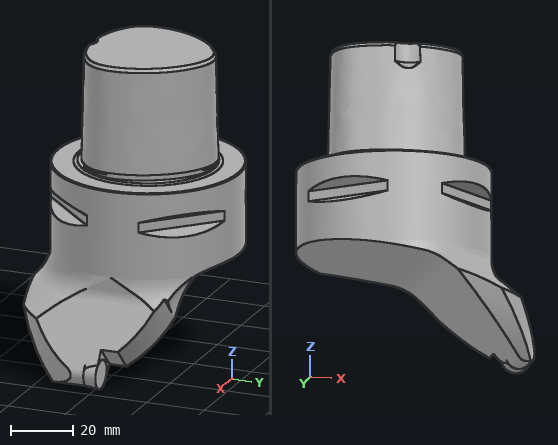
import cadquery as cq
import math


SHANK_HEIGHT = 38.3
CHAMFER_HEIGHT = 1.2
CHAMFER_WIDTH = 0.7
UNDERCUT_TOP = 2.5
UNDERCUT_DEPTH = 0.8
BASE_RADIUS = 22.1
TAPERED_RADIUS = 21.3
LOBE_HEIGHT = 1.3
LOBE_COUNT = 3
OUTLINE_POINTS = 36

RING_HEIGHT = 0.4
RING_BASE_RADIUS = 24.1
RING_TOP_RADIUS = 22.9
NECK_RADIUS = 22.0
NECK_TOP = 1.5

NOTCH_RADIUS = 5.7
NOTCH_DEPTH = 2.1
NOTCH_FLAT_END = 32.0
NOTCH_CONE_HEIGHT = 2.3

FLANGE_RADIUS = 31.5
RIM_CHAMFER = 0.3
SLOT_COUNT = 4
SLOT_FLAT_DISTANCE = 27.7
SLOT_CENTER_Z = -11.7
SLOT_FLOOR_HEIGHT = 3.3
SLOT_MOUTH_HEIGHT = 7.6

TIP_X = 40.2
TIP_Z = -59.8
TIP_RADIUS = 4.3
INSERT_RADIUS = 4.8
INSERT_THICKNESS = 4.4

UNDERSIDE_LEFT_Z = -26.8
UNDERSIDE_ANGLE = math.radians(10)
UNDERSIDE_FILLET = 15.5
ARM_LOWER_ANGLE = math.radians(45)
ARM_UPPER_ANGLE = math.radians(60)
ARM_UPPER_FILLET = 6.2

FLARE_TOP_Z = -29.7
FLARE_FILLET = 10.5
FLARE_ANGLE = math.radians(50)
FLARE_BREAK_Z = -39.2
FLARE_LOWER_ANGLE = math.radians(49)
FLARE_END_RADIUS = 61.8

BACK_STEP_Z = -27.7
BACK_STEP_Y = 17.2
BACK_STEP_FILLET = 14.4
SHELF_OFFSET = 64.8
SHELF_WIDTH = 5.9
BACK_CURVE_START = 45.4
BACK_CURVE_MIDDLE = (53.6, 14.1)

WALL_START = (0, -43.3)
WALL_ARC = [(28.1, -32.0), (36.5, -24.2), (43.9, -10.3)]
WALL_END = (51.5, 8.2)

FLANK_TOP = (-37.1, -33.0)
FLANK_ARC = [(-34.4, -38.8), (-28.1, -50.4), (-16.5, -63.9)]
FLANK_END = (-13.4, -67.0)

CLEAR = 206.0


def lobed_wire(mean_radius, z):
    """Constant-width three-lobed outline with one lobe towards +Y."""
    points = []
    for i in range(OUTLINE_POINTS):
        angle = 2 * math.pi * i / OUTLINE_POINTS
        phase = LOBE_COUNT * (angle - math.pi / 2)
        support = mean_radius + LOBE_HEIGHT * math.cos(phase)
        slope = -LOBE_COUNT * LOBE_HEIGHT * math.sin(phase)
        x = support * math.cos(angle) - slope * math.sin(angle)
        y = support * math.sin(angle) + slope * math.cos(angle)
        points.append(cq.Vector(x, y, z))
    edge = cq.Edge.makeSpline(points, periodic=True)
    return cq.Wire.assembleEdges([edge])


def lobed_solid(bottom_radius, bottom_z, top_radius, top_z):
    wires = [lobed_wire(bottom_radius, bottom_z), lobed_wire(top_radius, top_z)]
    return cq.Workplane(cq.Solid.makeLoft(wires, True))


def make_shank():
    chamfer_z = SHANK_HEIGHT - CHAMFER_HEIGHT
    neck_mean = BASE_RADIUS - UNDERCUT_DEPTH
    taper = lobed_solid(BASE_RADIUS, UNDERCUT_TOP, TAPERED_RADIUS, chamfer_z)
    chamfer = lobed_solid(TAPERED_RADIUS, chamfer_z, TAPERED_RADIUS - CHAMFER_WIDTH, SHANK_HEIGHT)
    neck = lobed_solid(neck_mean, -1, neck_mean, UNDERCUT_TOP)
    lobe_trim = cq.Workplane().circle(FLANGE_RADIUS).circle(NECK_RADIUS).extrude(NECK_TOP)
    shank = taper.union(chamfer).union(neck.cut(lobe_trim))
    return shank.cut(make_notch())


def make_notch():
    """Vertical round groove in the -Y side whose lower end is a cone."""
    shank_front = TAPERED_RADIUS - LOBE_HEIGHT
    axis_y = -(shank_front - NOTCH_DEPTH + NOTCH_RADIUS)
    cone_bottom = NOTCH_FLAT_END - NOTCH_CONE_HEIGHT
    end_radius = NOTCH_RADIUS - NOTCH_DEPTH
    profile = [
        (0, cone_bottom), (end_radius, cone_bottom), (NOTCH_RADIUS, NOTCH_FLAT_END),
        (NOTCH_RADIUS, SHANK_HEIGHT + 1), (0, SHANK_HEIGHT + 1),
    ]
    groove = cq.Workplane("XZ").polyline(profile).close().revolve(360, (0, 0), (0, 1))
    return groove.translate((0, axis_y, 0))


def make_side_outline():
    """Flange and arm as a prism along Y, with the rounded arm tip."""
    lower_touch = (
        TIP_X - TIP_RADIUS * math.sin(ARM_LOWER_ANGLE),
        TIP_Z - TIP_RADIUS * math.cos(ARM_LOWER_ANGLE),
    )
    upper_touch = (
        TIP_X + TIP_RADIUS * math.sin(ARM_UPPER_ANGLE),
        TIP_Z + TIP_RADIUS * math.cos(ARM_UPPER_ANGLE),
    )
    bisector = (ARM_LOWER_ANGLE + ARM_UPPER_ANGLE) / 2
    tip_end = (TIP_X + TIP_RADIUS * math.cos(bisector), TIP_Z - TIP_RADIUS * math.sin(bisector))
    lower_slope = math.tan(ARM_LOWER_ANGLE)
    under_slope = math.tan(UNDERSIDE_ANGLE)
    lower_intercept = lower_touch[1] + lower_slope * lower_touch[0]
    under_intercept = UNDERSIDE_LEFT_Z - under_slope * FLANGE_RADIUS
    knee_x = (lower_intercept - under_intercept) / (lower_slope - under_slope)
    knee_z = under_intercept - under_slope * knee_x
    shoulder_z = upper_touch[1] + (upper_touch[0] - FLANGE_RADIUS) * math.tan(ARM_UPPER_ANGLE)

    outline = (
        cq.Workplane("XZ")
        .moveTo(-FLANGE_RADIUS, 0)
        .lineTo(-FLANGE_RADIUS, UNDERSIDE_LEFT_Z)
        .lineTo(knee_x, knee_z)
        .lineTo(*lower_touch)
        .threePointArc(tip_end, upper_touch)
        .lineTo(FLANGE_RADIUS, shoulder_z)
        .lineTo(FLANGE_RADIUS, 0)
        .close()
        .extrude(CLEAR, both=True)
    )
    knee = cq.selectors.BoxSelector(
        (knee_x - 1, -2 * CLEAR, knee_z - 1), (knee_x + 1, 2 * CLEAR, knee_z + 1)
    )
    shoulder = cq.selectors.BoxSelector(
        (FLANGE_RADIUS - 1, -2 * CLEAR, shoulder_z - 1), (FLANGE_RADIUS + 1, 2 * CLEAR, shoulder_z + 1)
    )
    outline = outline.edges(knee).fillet(UNDERSIDE_FILLET)
    return outline.edges(shoulder).fillet(ARM_UPPER_FILLET)


def make_flare():
    """Round envelope: flange cylinder, concave fillet, then two cones opening downwards."""
    def fillet_point(angle):
        radius = FLANGE_RADIUS + FLARE_FILLET * (1 - math.cos(angle))
        return radius, FLARE_TOP_Z - FLARE_FILLET * math.sin(angle)

    end_radius, end_z = fillet_point(FLARE_ANGLE)
    break_radius = end_radius + (end_z - FLARE_BREAK_Z) * math.tan(FLARE_ANGLE)
    cone_end_z = FLARE_BREAK_Z - (FLARE_END_RADIUS - break_radius) / math.tan(FLARE_LOWER_ANGLE)
    return (
        cq.Workplane("XZ")
        .moveTo(0, 0)
        .lineTo(FLANGE_RADIUS - RIM_CHAMFER, 0)
        .lineTo(FLANGE_RADIUS, -RIM_CHAMFER)
        .lineTo(FLANGE_RADIUS, FLARE_TOP_Z)
        .threePointArc(fillet_point(FLARE_ANGLE / 2), (end_radius, end_z))
        .lineTo(break_radius, FLARE_BREAK_Z)
        .lineTo(FLARE_END_RADIUS, cone_end_z)
        .lineTo(FLARE_END_RADIUS, -CLEAR)
        .lineTo(0, -CLEAR)
        .close()
        .revolve(360, (0, 0), (0, 1))
    )


def make_front_limit():
    """Vertical curved wall that bounds the arm on its outer -Y side."""
    return (
        cq.Workplane("XY")
        .moveTo(-CLEAR, CLEAR)
        .lineTo(-CLEAR, -CLEAR)
        .lineTo(WALL_START[0], -CLEAR)
        .lineTo(*WALL_START)
        .lineTo(*WALL_ARC[0])
        .threePointArc(*WALL_ARC[1:])
        .lineTo(*WALL_END)
        .lineTo(WALL_END[0], CLEAR)
        .close()
        .extrude(-CLEAR)
    )


def make_flank_limit():
    """Curved wall along X that bounds the arm on its lower -Y side."""
    return (
        cq.Workplane("YZ")
        .moveTo(CLEAR, 0)
        .lineTo(FLANK_TOP[0], 0)
        .lineTo(*FLANK_TOP)
        .lineTo(*FLANK_ARC[0])
        .threePointArc(*FLANK_ARC[1:])
        .lineTo(*FLANK_END)
        .lineTo(CLEAR, FLANK_END[1])
        .close()
        .extrude(CLEAR, both=True)
    )


def make_back_step():
    """Space removed along X on the +Y side, with a rounded inner corner."""
    corner_y = BACK_STEP_Y + BACK_STEP_FILLET
    corner_z = BACK_STEP_Z - BACK_STEP_FILLET
    middle = BACK_STEP_FILLET * math.sqrt(0.5)
    return (
        cq.Workplane("YZ")
        .moveTo(CLEAR, BACK_STEP_Z)
        .lineTo(corner_y, BACK_STEP_Z)
        .threePointArc((corner_y - middle, corner_z + middle), (BACK_STEP_Y, corner_z))
        .lineTo(BACK_STEP_Y, -CLEAR)
        .lineTo(CLEAR, -CLEAR)
        .close()
        .extrude(CLEAR, both=True)
    )


def make_back_relief():
    """Space removed square to the arm's lower face: curved flank, shelf and insert step."""
    along_arm = cq.Plane(
        origin=(0, 0, 0),
        xDir=(math.cos(ARM_LOWER_ANGLE), 0, -math.sin(ARM_LOWER_ANGLE)),
        normal=(math.sin(ARM_LOWER_ANGLE), 0, math.cos(ARM_LOWER_ANGLE)),
    )
    return (
        cq.Workplane(along_arm)
        .moveTo(BACK_CURVE_START, BACK_STEP_Y)
        .threePointArc(BACK_CURVE_MIDDLE, (SHELF_OFFSET, SHELF_WIDTH))
        .lineTo(SHELF_OFFSET, 0)
        .lineTo(CLEAR, 0)
        .lineTo(CLEAR, CLEAR)
        .lineTo(BACK_CURVE_START, CLEAR)
        .close()
        .extrude(-CLEAR / 2)
    )


def make_slots():
    """Bevelled straight slots cut into the flange on its diagonals."""
    mouth_x = FLANGE_RADIUS
    half_floor = SLOT_FLOOR_HEIGHT / 2
    half_mouth = SLOT_MOUTH_HEIGHT / 2
    profile = [
        (SLOT_FLAT_DISTANCE, SLOT_CENTER_Z - half_floor), (mouth_x, SLOT_CENTER_Z - half_mouth),
        (mouth_x, SLOT_CENTER_Z + half_mouth), (SLOT_FLAT_DISTANCE, SLOT_CENTER_Z + half_floor),
    ]
    slot = cq.Workplane("XZ").polyline(profile).close().extrude(FLANGE_RADIUS, both=True)
    step = 360 / SLOT_COUNT
    slots = cq.Workplane()
    for i in range(SLOT_COUNT):
        slots = slots.add(slot.rotate((0, 0, 0), (0, 0, 1), step * (i + 0.5)))
    return slots.combine()


def make_foot_ring():
    """Low conical ring on the seating face around the shank."""
    return cq.Workplane(cq.Solid.makeCone(RING_BASE_RADIUS, RING_TOP_RADIUS, RING_HEIGHT))


def make_insert():
    """Round cutting insert tapering towards -Y from its rake face at Y = 0."""
    cone = cq.Solid.makeCone(
        INSERT_RADIUS, TIP_RADIUS, INSERT_THICKNESS, cq.Vector(TIP_X, 0, TIP_Z), cq.Vector(0, -1, 0)
    )
    return cq.Workplane(cone)


def make_holder(insert):
    holder = make_side_outline().intersect(make_flare())
    holder = holder.intersect(make_front_limit()).intersect(make_flank_limit())
    holder = holder.cut(make_back_step()).cut(make_back_relief())
    holder = holder.cut(make_slots()).union(make_foot_ring())
    return holder.union(make_shank()).cut(insert)


insert = make_insert()
holder = make_holder(insert)
result = cq.Compound.makeCompound([holder.solids().val(), insert.val()])